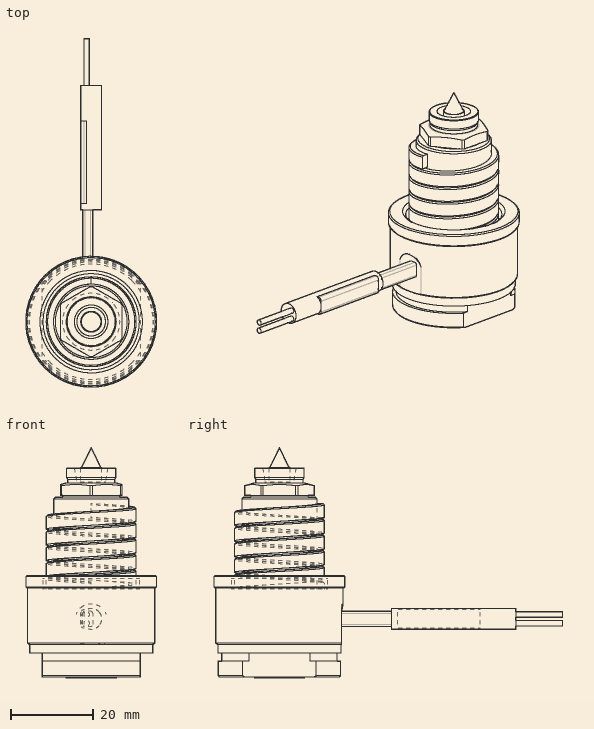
import cadquery as cq

OVERALL_HEIGHT = 56.2
OVERALL_LENGTH = 85.0

PAD_RADIUS = 6.1
PAD_HEIGHT = 0.25
BASE_RADIUS = 15.0
BASE_TOP_Z = 4.2
BASE_CHAMFER = 0.3
NECK_RADIUS = 14.1
NECK_TOP_Z = 6.1
FLAT_TO_AXIS = 12.0
FLANGE_RADIUS = 15.05
FLANGE_TOP_Z = 8.25
BODY_RADIUS = 15.55
BODY_CHAMFER = 0.3
COLLAR_RADIUS = 16.0
COLLAR_BOTTOM_Z = 21.9
COLLAR_TOP_Z = 25.1
COLLAR_CHAMFER = 0.3

RECESS_RADIUS = 11.7
RECESS_DEPTH = 3.4
RECESS_CHAMFER = 0.8

CABLE_FLAT_Y = 15.1
CABLE_FLAT_HALF_WIDTH = 3.9
CABLE_FLAT_TOP_Z = 18.1

CORE_RADIUS = 9.2
CORE_TOP_Z = 44.1
CORE_CHAMFER = 0.4
COIL_RADIUS = 11.0
COIL_ROOT_OVERLAP = 0.3
COIL_PITCH = 3.8
COIL_GAP = 0.4
COIL_CHAMFER = 0.3
COIL_TOP_Z = 42.6
COIL_TURNS = 5
COIL_END_ANGLE = 90

SHANK_RADIUS = 7.0
HEX_BOTTOM_Z = 44.5
HEX_EDGE_Z = 46.9
HEX_ACROSS_FLATS = 15.05
HEX_CORNER_RADIUS = 8.5
HEX_TOP_Z = 47.6
HEX_TOP_RADIUS = 6.1
TIP_NECK_RADIUS = 5.8
TIP_RADIUS = 6.0
TIP_TAPER_BOTTOM_Z = 48.45
TIP_TAPER_TOP_Z = 49.0
TIP_TOP_Z = 51.25
TIP_CHAMFER = 0.2
BORE_RADIUS = 4.1
BORE_FLOOR_RADIUS = 3.5
BORE_DEPTH = 3.4
NEEDLE_RADIUS = 2.55
NEEDLE_CONE_RADIUS = 2.4
NEEDLE_CONE_HEIGHT = 4.85

CABLE_EMBEDDING = 0.85
CABLE_Z = 14.45
CABLE_X = -0.85
CABLE_WIDTH = 2.5
CABLE_HEIGHT = 3.8
CABLE_CORNER = 0.6
SLEEVE_RADIUS = 2.55
SLEEVE_START_Y = 27.3
SLEEVE_END_Y = 57.6
CLIP_START_Y = 28.8
CLIP_END_Y = 48.9
CLIP_INNER_X = -1.2
CLIP_HEIGHT = 4.5
CLIP_CORNER = 0.85
WIRE_RADIUS = 0.7
WIRE_END_Y = OVERALL_LENGTH - COLLAR_RADIUS
WIRE_X = -1.1
WIRE_SPACING = 2.1


def cylinder(radius, bottom, top):
    return cq.Workplane("XY").workplane(offset=bottom).circle(radius).extrude(top - bottom)


def revolve(profile):
    return cq.Workplane("XZ").polyline(profile).close().revolve(360, (0, 0), (0, 1))


def along_y(start, x, z):
    """Workplane at the given Y, facing +Y, with local x = -X and local y = Z."""
    return cq.Workplane(cq.Plane(origin=(x, start, z), xDir=(-1, 0, 0), normal=(0, 1, 0)))


def base():
    pad = cylinder(PAD_RADIUS, 0, BASE_TOP_Z)
    disc = cylinder(BASE_RADIUS, PAD_HEIGHT, BASE_TOP_Z).faces("<Z").chamfer(BASE_CHAMFER)
    neck = cylinder(NECK_RADIUS, BASE_TOP_Z, NECK_TOP_Z)
    flats = cq.Workplane("XY").box(2 * FLAT_TO_AXIS, 2 * BASE_RADIUS, 2 * NECK_TOP_Z)
    return disc.union(neck).intersect(flats).union(pad)


def housing():
    flange = cylinder(FLANGE_RADIUS, NECK_TOP_Z, FLANGE_TOP_Z)
    body = cylinder(BODY_RADIUS, FLANGE_TOP_Z, COLLAR_BOTTOM_Z).faces("<Z").chamfer(BODY_CHAMFER)
    arch_z = CABLE_FLAT_TOP_Z - CABLE_FLAT_HALF_WIDTH
    arch = (
        along_y(CABLE_FLAT_Y, 0, 0)
        .moveTo(-CABLE_FLAT_HALF_WIDTH, FLANGE_TOP_Z)
        .lineTo(-CABLE_FLAT_HALF_WIDTH, arch_z)
        .threePointArc((0, CABLE_FLAT_TOP_Z), (CABLE_FLAT_HALF_WIDTH, arch_z))
        .lineTo(CABLE_FLAT_HALF_WIDTH, FLANGE_TOP_Z)
        .close()
        .extrude(BODY_RADIUS)
    )
    collar = cylinder(COLLAR_RADIUS, COLLAR_BOTTOM_Z, COLLAR_TOP_Z).edges().chamfer(COLLAR_CHAMFER)
    recess = cylinder(RECESS_RADIUS, COLLAR_TOP_Z - RECESS_DEPTH, COLLAR_TOP_Z)
    shell = flange.union(body.cut(arch)).union(collar).cut(recess)
    rim_bevel = revolve([
        (0, COLLAR_TOP_Z),
        (RECESS_RADIUS + RECESS_CHAMFER, COLLAR_TOP_Z),
        (RECESS_RADIUS, COLLAR_TOP_Z - RECESS_CHAMFER),
        (0, COLLAR_TOP_Z - RECESS_CHAMFER),
    ])
    return shell.cut(rim_bevel)


def coil():
    """Rectangular strip with a bevelled upper edge, wound right-handed around the core."""
    half_height = (COIL_PITCH - COIL_GAP) / 2
    length = COIL_TURNS * COIL_PITCH
    inner = CORE_RADIUS - COIL_ROOT_OVERLAP
    path = cq.Wire.makeHelix(COIL_PITCH, length, CORE_RADIUS)
    strip = (
        cq.Workplane("XZ")
        .polyline([
            (inner, -half_height),
            (COIL_RADIUS, -half_height),
            (COIL_RADIUS, half_height - COIL_CHAMFER),
            (COIL_RADIUS - COIL_CHAMFER, half_height),
            (inner, half_height),
        ])
        .close()
        .sweep(cq.Workplane(path), isFrenet=True)
    )
    start_z = COIL_TOP_Z - length - half_height
    return strip.rotate((0, 0, 0), (0, 0, 1), COIL_END_ANGLE).translate((0, 0, start_z))


def core():
    return cylinder(CORE_RADIUS, FLANGE_TOP_Z, CORE_TOP_Z).faces(">Z").chamfer(CORE_CHAMFER)


def hexagon():
    prism = (
        cq.Workplane("XY")
        .workplane(offset=HEX_BOTTOM_Z)
        .polygon(6, HEX_ACROSS_FLATS, circumscribed=True)
        .extrude(HEX_TOP_Z - HEX_BOTTOM_Z)
    )
    envelope = revolve([
        (0, HEX_BOTTOM_Z),
        (HEX_CORNER_RADIUS, HEX_BOTTOM_Z),
        (HEX_CORNER_RADIUS, HEX_EDGE_Z),
        (HEX_TOP_RADIUS, HEX_TOP_Z),
        (0, HEX_TOP_Z),
    ])
    shank = cylinder(SHANK_RADIUS, CORE_TOP_Z, HEX_BOTTOM_Z)
    return prism.intersect(envelope).union(shank)


def tip():
    bore_floor = TIP_TOP_Z - BORE_DEPTH
    cone_base = OVERALL_HEIGHT - NEEDLE_CONE_HEIGHT
    ring = revolve([
        (0, HEX_TOP_Z),
        (TIP_NECK_RADIUS, HEX_TOP_Z),
        (TIP_NECK_RADIUS, TIP_TAPER_BOTTOM_Z),
        (TIP_RADIUS, TIP_TAPER_TOP_Z),
        (TIP_RADIUS, TIP_TOP_Z - TIP_CHAMFER),
        (TIP_RADIUS - TIP_CHAMFER, TIP_TOP_Z),
        (0, TIP_TOP_Z),
    ])
    bore = revolve([
        (0, bore_floor),
        (BORE_FLOOR_RADIUS, bore_floor),
        (BORE_RADIUS, TIP_TOP_Z),
        (0, TIP_TOP_Z),
    ])
    needle = revolve([
        (0, bore_floor),
        (NEEDLE_RADIUS, bore_floor),
        (NEEDLE_RADIUS, cone_base),
        (NEEDLE_CONE_RADIUS, cone_base),
        (0, OVERALL_HEIGHT),
    ])
    return ring.cut(bore).union(needle)


def cable():
    cord_start = CABLE_FLAT_Y - CABLE_EMBEDDING
    cord = (
        along_y(cord_start, CABLE_X, CABLE_Z)
        .rect(CABLE_WIDTH, CABLE_HEIGHT)
        .extrude(SLEEVE_START_Y - cord_start)
        .edges("|Y")
        .fillet(CABLE_CORNER)
    )
    sleeve = (
        along_y(SLEEVE_START_Y, 0, CABLE_Z)
        .circle(SLEEVE_RADIUS)
        .extrude(SLEEVE_END_Y - SLEEVE_START_Y)
    )
    clip_width = CLIP_INNER_X + SLEEVE_RADIUS
    clip = (
        along_y(CLIP_START_Y, CLIP_INNER_X - clip_width / 2, CABLE_Z)
        .rect(clip_width, CLIP_HEIGHT)
        .extrude(CLIP_END_Y - CLIP_START_Y)
        .edges("|Y and <X")
        .fillet(CLIP_CORNER)
    )
    wires = (
        along_y(SLEEVE_END_Y, WIRE_X, CABLE_Z)
        .pushPoints([(0, -WIRE_SPACING / 2), (0, WIRE_SPACING / 2)])
        .circle(WIRE_RADIUS)
        .extrude(WIRE_END_Y - SLEEVE_END_Y)
    )
    return cord.union(sleeve).union(clip).union(wires)


result = (
    base()
    .union(housing())
    .union(core())
    .union(coil())
    .union(hexagon())
    .union(tip())
    .union(cable())
)